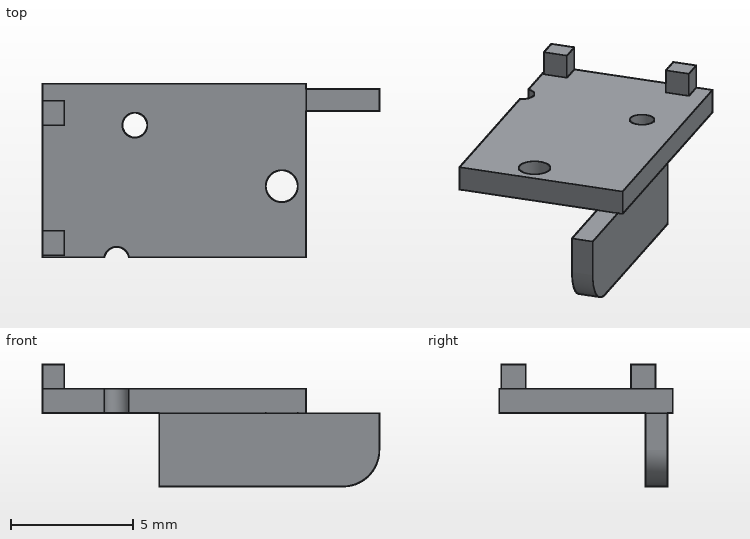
import cadquery as cq

plate_length = 10.78
plate_width = 7.1
plate_thickness = 1.0

pad_length = 0.9
pad_width = 1.0
pad_height = 0.99
pad_front_sides = (0.08, 5.39)

overall_length = 13.79
blade_start = 4.77
blade_depth = 3.0
blade_thickness = 0.91
blade_back_gap = 0.2
blade_corner_radius = 1.5

small_hole_diameter = 1.0
small_hole_center = (3.78, 5.4)
large_hole_diameter = 1.3
large_hole_center = (9.79, 2.91)

notch_diameter = 1.0
notch_center = (3.03, -0.08)


def block(length, width, height, corner):
    """Box placed by its lowest corner."""
    return cq.Workplane("XY").box(length, width, height, centered=False).translate(corner)


def drill(diameter, center):
    """Cylinder as tall as the plate, used to cut through it."""
    return cq.Workplane("XY").center(*center).circle(diameter / 2).extrude(plate_thickness)


plate = block(plate_length, plate_width, plate_thickness, (0, 0, 0))
plate = plate.cut(drill(small_hole_diameter, small_hole_center))
plate = plate.cut(drill(large_hole_diameter, large_hole_center))
plate = plate.cut(drill(notch_diameter, notch_center))

blade_front_side = plate_width - blade_back_gap - blade_thickness
blade = block(
    overall_length - blade_start,
    blade_thickness,
    blade_depth,
    (blade_start, blade_front_side, -blade_depth),
)
blade = blade.faces(">X").edges("<Z").fillet(blade_corner_radius)

result = plate.union(blade)
for front_side in pad_front_sides:
    pad = block(pad_length, pad_width, pad_height, (0, front_side, plate_thickness))
    result = result.union(pad)